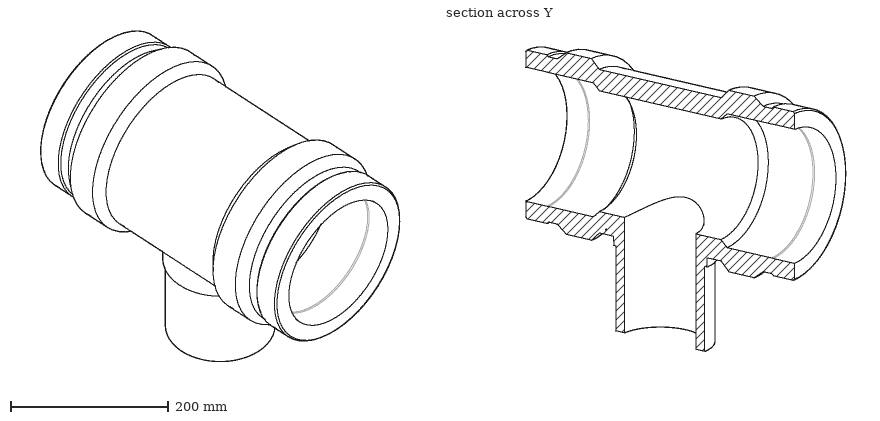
import cadquery as cq

length = 422.0
run_diameter = 220.5
run_bore = 162.0

lip_diameter = 228.0
neck_diameter = 223.2
bell_diameter = 245.0
socket_bore = 180.0
inner_bore = 179.8
lip_chamfer = (lip_diameter - neck_diameter) / 2
neck_start = 36.0
neck_end = 49.5
bell_start = 63.7
bell_end = 103.5
shoulder_end = 115.5
bore_taper_start = 106.0

terminal_diameter = 16.0
terminal_station = 17.5
terminal_top = 116.0

collar_diameter = 147.0
collar_bottom = -bell_diameter / 2
branch_diameter = 140.0
branch_bore = 112.0
branch_bottom = -236.7


def revolve_mirrored(half_profile):
    """Revolve (station, diameter) points, mirrored about the middle, around the X axis."""
    left = [(station - length / 2, diameter / 2) for station, diameter in half_profile]
    right = [(-x, radius) for x, radius in reversed(left)]
    outline = [(-length / 2, 0)] + left + right + [(length / 2, 0)]
    return cq.Workplane("XY").polyline(outline).close().revolve(360, (0, 0, 0), (1, 0, 0))


def branch_cylinder(diameter, bottom):
    """Vertical cylinder from the run axis down to the given height."""
    return cq.Workplane("XY").circle(diameter / 2).extrude(bottom)


def terminal(x):
    """Round boss standing out of a socket lip towards +Y."""
    root = (lip_diameter + socket_bore) / 4
    return (
        cq.Workplane("XZ", origin=(x, root, 0))
        .circle(terminal_diameter / 2)
        .extrude(root - terminal_top)
    )


run = revolve_mirrored([
    (0, neck_diameter),
    (lip_chamfer, lip_diameter),
    (neck_start - lip_chamfer, lip_diameter),
    (neck_start, neck_diameter),
    (neck_end, neck_diameter),
    (bell_start, bell_diameter),
    (bell_end, bell_diameter),
    (shoulder_end, run_diameter),
])

bore = revolve_mirrored([
    (0, socket_bore),
    (neck_start - lip_chamfer, socket_bore),
    (neck_start, inner_bore),
    (bore_taper_start, inner_bore),
    (shoulder_end, run_bore),
])

branch = branch_cylinder(collar_diameter, collar_bottom).union(
    branch_cylinder(branch_diameter, branch_bottom)
)

result = run.union(branch)
for side in (-1, 1):
    result = result.union(terminal(side * (length / 2 - terminal_station)))
result = result.cut(bore).cut(branch_cylinder(branch_bore, branch_bottom))